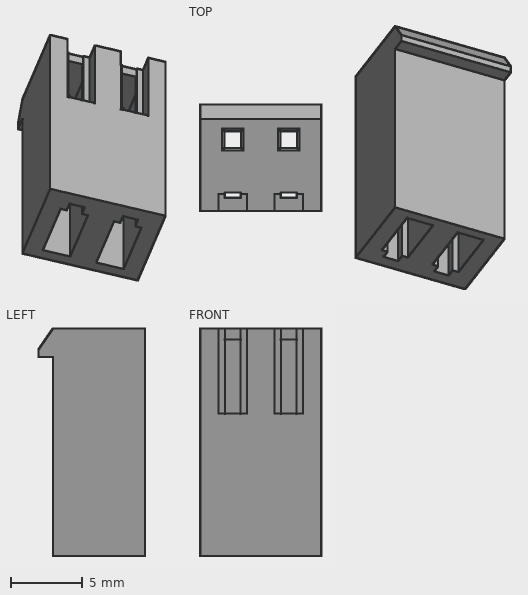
import cadquery as cq

width = 8.51
depth = 6.48
height = 16.0

total_depth = 7.5
latch_height = 2.02
latch_slope_height = 1.49

pitch = 3.94
positions = (-pitch / 2, pitch / 2)

slot_width = 2.02
slot_depth = 1.22
slot_height = 6.0

pin_y = 5.02
pin_width = 1.15
lead_in_width = 1.54
lead_in_depth = 0.18

roof_thickness = 0.8
cavity_width = slot_width
cavity_front = 1.6
cavity_back = 5.73
channel_width = 1.12
channel_front = 0.95

notch_back = 1.3


def box_between(center_x, size_x, y_range, z_range):
    """Box centred on center_x, spanning the given Y and Z ranges."""
    y_min, y_max = y_range
    z_min, z_max = z_range
    return cq.Workplane("XY").box(
        size_x, y_max - y_min, z_max - z_min, centered=(True, False, False)
    ).translate((center_x, y_min, z_min))


def make_housing():
    """Side profile with the latch ridge, extruded across the width."""
    profile = [
        (0, 0),
        (depth, 0),
        (depth, height - latch_height),
        (total_depth, height - latch_height),
        (total_depth, height - latch_slope_height),
        (depth, height),
        (0, height),
    ]
    return cq.Workplane("YZ").polyline(profile).close().extrude(width / 2, both=True)


def make_pin_entry(center_x):
    """Square hole through the roof with a tapered lead-in."""
    lead_in = (
        cq.Workplane("XY", origin=(center_x, pin_y, height))
        .rect(lead_in_width, lead_in_width)
        .workplane(offset=-lead_in_depth)
        .rect(pin_width, pin_width)
        .loft(ruled=True)
    )
    y_range = (pin_y - pin_width / 2, pin_y + pin_width / 2)
    hole = box_between(center_x, pin_width, y_range, (height - roof_thickness, height))
    return hole.union(lead_in)


def make_contact_cuts(center_x):
    """All material removed at one contact position."""
    ceiling = height - roof_thickness
    slot = box_between(center_x, slot_width, (0, slot_depth), (height - slot_height, height))
    notch = box_between(center_x, channel_width, (channel_front, notch_back), (ceiling, height))
    channel = box_between(center_x, channel_width, (channel_front, cavity_front), (0, ceiling))
    cavity = box_between(center_x, cavity_width, (cavity_front, cavity_back), (0, ceiling))
    return [slot, notch, channel, cavity, make_pin_entry(center_x)]


result = make_housing()
for position in positions:
    for cut in make_contact_cuts(position):
        result = result.cut(cut)